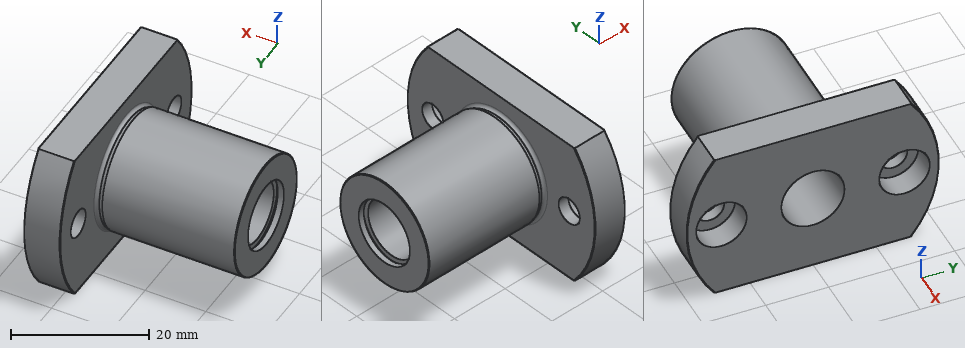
import cadquery as cq

total_length = 29.0
flange_thickness = 6.0
flange_diameter = 40.0
flange_height = 25.0
flange_edge_chamfer = 0.1

sleeve_diameter = 19.0
sleeve_edge_chamfer = 0.1
bore_diameter = 10.0
mouth_diameter = 10.9
mouth_depth = 1.0
groove_diameter = 12.0
groove_width = 0.45

undercut_width = 1.25
undercut_ramp_length = 0.6
undercut_depth = 0.2
undercut_radius = 0.5

mount_hole_diameter = 4.5
mount_hole_spacing = 29.0
screw_head_diameter = 8.0
screw_head_depth = 4.1

flange_start = total_length - flange_thickness
flange_radius = flange_diameter / 2
sleeve_radius = sleeve_diameter / 2


def cylinder(diameter, start, length, y=0):
    """Solid cylinder parallel to X."""
    plane = cq.Workplane("YZ", origin=(start, y, 0))
    return plane.circle(diameter / 2).extrude(length)


def make_body():
    """Revolve the sleeve, its undercut and the round flange about X."""
    undercut_start = flange_start - undercut_width
    floor_radius = sleeve_radius - undercut_depth
    fillet_start = flange_start - undercut_radius
    fillet_top = floor_radius + undercut_radius
    fillet_drop = undercut_radius * 0.5**0.5
    fillet_middle = (fillet_start + fillet_drop, fillet_top - fillet_drop)
    profile = (
        cq.Workplane("XY")
        .moveTo(0, 0)
        .lineTo(0, sleeve_radius - sleeve_edge_chamfer)
        .lineTo(sleeve_edge_chamfer, sleeve_radius)
        .lineTo(undercut_start, sleeve_radius)
        .lineTo(undercut_start + undercut_ramp_length, floor_radius)
        .lineTo(fillet_start, floor_radius)
        .threePointArc(fillet_middle, (flange_start, fillet_top))
        .lineTo(flange_start, flange_radius - flange_edge_chamfer)
        .lineTo(flange_start + flange_edge_chamfer, flange_radius)
        .lineTo(total_length - flange_edge_chamfer, flange_radius)
        .lineTo(total_length, flange_radius - flange_edge_chamfer)
        .lineTo(total_length, 0)
        .close()
    )
    return profile.revolve(360, (0, 0, 0), (1, 0, 0))


def cut_flats(body):
    """Trim the round flange to two flats facing +Z and -Z."""
    envelope = cq.Workplane("XY").box(
        total_length, flange_diameter, flange_height, centered=(False, True, True)
    )
    return body.intersect(envelope)


def cut_bore(body):
    """Through bore with a wider mouth and an internal groove behind it, at the free end."""
    body = body.cut(cylinder(bore_diameter, 0, total_length))
    body = body.cut(cylinder(mouth_diameter, 0, mouth_depth))
    return body.cut(cylinder(groove_diameter, mouth_depth, groove_width))


def cut_mount_holes(body):
    """Two through holes in the flange, counterbored from its outer face at +X."""
    screw_head_start = total_length - screw_head_depth
    for side in (-1, 1):
        hole_y = side * mount_hole_spacing / 2
        body = body.cut(cylinder(mount_hole_diameter, flange_start, flange_thickness, hole_y))
        body = body.cut(cylinder(screw_head_diameter, screw_head_start, screw_head_depth, hole_y))
    return body


result = cut_mount_holes(cut_bore(cut_flats(make_body())))